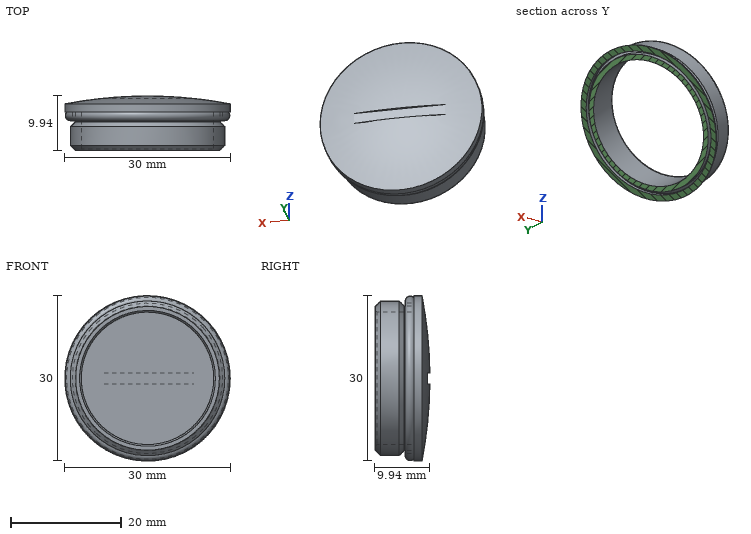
import cadquery as cq


dome_height = 1.45
rim_width = 1.5
neck_width = 1.75
shoulder_chamfer = 0.9
land_width = 3.35
end_chamfer = 1.0
bore_depth = 7.0

rim_radius = 15.0
plug_radius = 14.0
neck_radius = plug_radius - shoulder_chamfer
bore_radius = 12.0
bore_chamfer = 0.3

slot_width = 2.0
slot_depth = 0.45

ring_outer_radius = 14.9
ring_inner_radius = 13.62
ring_crown_radius = 0.93
ring_width = 1.55

land_start = end_chamfer
land_end = land_start + land_width
neck_start = land_end + shoulder_chamfer
rim_start = neck_start + neck_width
rim_end = rim_start + rim_width
dome_top = rim_end + dome_height

dome_sphere_radius = (rim_radius**2 + dome_height**2) / (2 * dome_height)


def revolve_about_y(profile):
    return profile.revolve(360, (0, 0, 0), (0, 1, 0))


def make_cap_blank():
    mid_radius = rim_radius / 2
    sphere_center = dome_top - dome_sphere_radius
    mid_height = sphere_center + (dome_sphere_radius**2 - mid_radius**2) ** 0.5
    profile = (
        cq.Workplane("XY")
        .moveTo(0, 0)
        .lineTo(plug_radius - end_chamfer, 0)
        .lineTo(plug_radius, land_start)
        .lineTo(plug_radius, land_end)
        .lineTo(neck_radius, neck_start)
        .lineTo(neck_radius, rim_start)
        .lineTo(rim_radius, rim_start)
        .lineTo(rim_radius, rim_end)
        .threePointArc((mid_radius, mid_height), (0, dome_top))
        .close()
    )
    return revolve_about_y(profile)


def make_bore():
    profile = (
        cq.Workplane("XY")
        .moveTo(0, 0)
        .lineTo(bore_radius + bore_chamfer, 0)
        .lineTo(bore_radius, bore_chamfer)
        .lineTo(bore_radius, bore_depth)
        .lineTo(0, bore_depth)
        .close()
    )
    return revolve_about_y(profile)


def make_slot():
    return (
        cq.Workplane("XY")
        .box(2 * rim_radius, slot_depth, slot_width)
        .translate((0, dome_top - slot_depth / 2, 0))
    )


def make_cap():
    return make_cap_blank().cut(make_bore()).cut(make_slot())


def make_sealing_ring():
    """Ring clear of the neck and seated against the rim, with a round crown and a flat -Y face."""
    ring_start = rim_start - ring_width
    crown_center_radius = ring_outer_radius - ring_crown_radius
    crown_center_height = ring_start + ring_crown_radius
    rim_side_offset = rim_start - crown_center_height
    rim_contact_radius = crown_center_radius + (ring_crown_radius**2 - rim_side_offset**2) ** 0.5
    profile = (
        cq.Workplane("XY")
        .moveTo(ring_inner_radius, ring_start)
        .lineTo(crown_center_radius, ring_start)
        .threePointArc((ring_outer_radius, crown_center_height), (rim_contact_radius, rim_start))
        .lineTo(ring_inner_radius, rim_start)
        .close()
    )
    return revolve_about_y(profile)


cap = make_cap()
sealing_ring = make_sealing_ring()

result = cq.Compound.makeCompound([cap.val(), sealing_ring.val()])